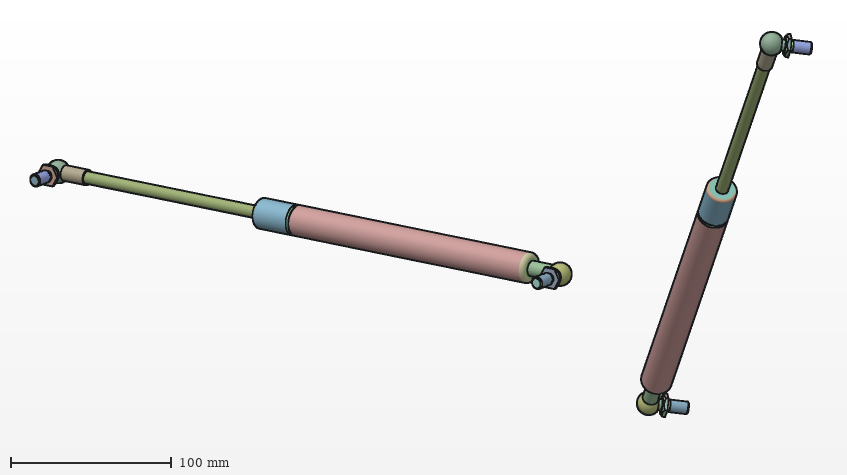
import cadquery as cq
import math

overall_length = 400.5
overall_depth = 35.0

socket_d = 15.0
socket_neck_d = 10.0
rod_socket_reach = 29.5
mouth_y = -5.5
ball_d = 9.0
socket_x = (overall_length - socket_d) / 2

stud_neck_d = 7.2
hex_across_flats = 13.0
hex_top_y = -8.0
hex_bottom_y = -11.2
hex_face_d = 11.2
hex_bevel_drop = 1.5
relief_d = 6.5
thread_top_y = -13.2
thread_d = 8.0
thread_chamfer = 1.0

tube_d = 19.5
tube_start_x = -37.2
tube_end_x = 171.5
front_fillet = 1.5
rear_fillet = 3.2
groove_x = -10.0
groove_d = 2.0
rod_d = 8.0
rod_start_x = rod_socket_reach - overall_length / 2

stud_end_y = tube_d / 2 - overall_depth


def x_cylinder(diameter, start_x, end_x):
    return cq.Workplane("YZ", origin=(start_x, 0, 0)).circle(diameter / 2).extrude(end_x - start_x)


def y_cylinder(diameter, start_y, end_y):
    return cq.Workplane("XZ", origin=(0, start_y, 0)).circle(diameter / 2).extrude(start_y - end_y)


def make_spring():
    """Round-edged cylinder with a half-round groove, one solid with its rod."""
    tube = x_cylinder(tube_d, tube_start_x, tube_end_x)
    tube = tube.faces("<X").edges().fillet(front_fillet)
    tube = tube.faces(">X").edges().fillet(rear_fillet)
    axis_drop = tube_d / 2
    groove = (
        cq.Workplane("XY")
        .center(groove_x, axis_drop)
        .circle(groove_d / 2)
        .revolve(360, (0, -axis_drop), (1, -axis_drop))
    )
    rod = x_cylinder(rod_d, rod_start_x, tube_start_x)
    return tube.cut(groove).union(rod)


def make_socket(center_x, neck_end_x):
    """Ball-shaped socket, bored for the stud's ball, flat at its mouth, with a neck along X."""
    head = cq.Workplane("XY").sphere(socket_d / 2)
    head = head.intersect(y_cylinder(socket_d, socket_d / 2, mouth_y))
    neck = x_cylinder(socket_neck_d, 0, neck_end_x - center_x)
    cavity = cq.Workplane("XY").sphere(ball_d / 2)
    mouth = y_cylinder(ball_d, 0, mouth_y)
    socket = head.union(neck).cut(cavity).cut(mouth)
    return socket.translate((center_x, 0, 0))


def make_hex_flange():
    """Hexagon with corners along X, its corners bevelled on the ball side."""
    hex_corner_d = hex_across_flats / math.cos(math.pi / 6)
    hexagon = (
        cq.Workplane("XZ", origin=(0, hex_top_y, 0))
        .polygon(6, hex_corner_d)
        .extrude(hex_top_y - hex_bottom_y)
    )
    bevel = (
        cq.Workplane("XY")
        .moveTo(0, hex_top_y)
        .lineTo(hex_face_d / 2, hex_top_y)
        .lineTo(hex_corner_d / 2, hex_top_y - hex_bevel_drop)
        .lineTo(hex_corner_d / 2, hex_bottom_y)
        .lineTo(0, hex_bottom_y)
        .close()
        .revolve(360, (0, 0), (0, 1))
    )
    return hexagon.intersect(bevel)


def make_stud(center_x):
    """Ball, neck, hexagon, thread relief and thread in line along Y."""
    thread = y_cylinder(thread_d, thread_top_y, stud_end_y)
    thread = thread.faces("<Y").edges().chamfer(thread_chamfer)
    stud = (
        cq.Workplane("XY").sphere(ball_d / 2)
        .union(y_cylinder(stud_neck_d, 0, hex_top_y))
        .union(make_hex_flange())
        .union(y_cylinder(relief_d, hex_bottom_y, thread_top_y))
        .union(thread)
    )
    return stud.translate((center_x, 0, 0))


spring = make_spring()
sockets = [make_socket(-socket_x, rod_start_x), make_socket(socket_x, tube_end_x)]
studs = [make_stud(center_x) for center_x in (-socket_x, socket_x)]

bodies = [spring, *sockets, *studs]
result = cq.Compound.makeCompound([body.val() for body in bodies])